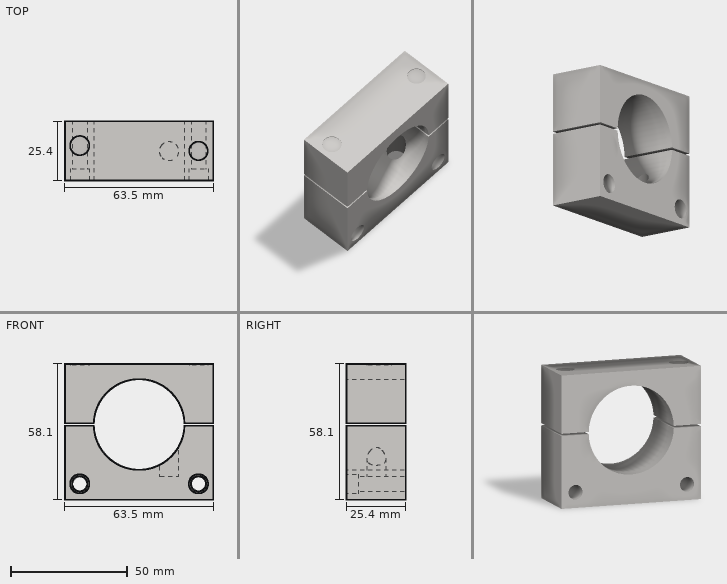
import cadquery as cq

LENGTH = 63.5
DEPTH = 25.4
BASE_HEIGHT = 31.75
CAP_HEIGHT = 25.4
SPLIT_GAP = 1.0
TOP_Z = BASE_HEIGHT + SPLIT_GAP + CAP_HEIGHT

BORE_DIAMETER = 38.75
BORE_Z = BASE_HEIGHT + SPLIT_GAP / 2

HOLE_X = 25.4
MOUNT_Z = 6.85
MOUNT_DIAMETER = 6.35
COUNTERBORE_DIAMETER = 8.25
COUNTERBORE_DEPTH = 5.1

POCKET_DIAMETER = 8.2
POCKET_X = 12.7
POCKET_Y = 0.0
POCKET_FLOOR_Z = 10.05

RECESS_DEPTH = 0.3
LEFT_RECESS_DIAMETER = 8.25
LEFT_RECESS_Y = 2.3
RIGHT_RECESS_DIAMETER = 7.95
RIGHT_RECESS_Y = 0.0


def block(bottom_z, height):
    """Rectangular block centred on the Z axis."""
    return cq.Workplane("XY", origin=(0, 0, bottom_z)).rect(LENGTH, DEPTH).extrude(height)


def front_cylinder(x, z, diameter, length):
    """Cylinder running from the front face (-Y) into the block."""
    plane = cq.Workplane("XZ", origin=(x, -DEPTH / 2, z))
    return plane.circle(diameter / 2).extrude(-length)


def vertical_cylinder(x, y, bottom_z, diameter, height):
    """Cylinder rising along +Z from bottom_z."""
    return cq.Workplane("XY", origin=(x, y, bottom_z)).circle(diameter / 2).extrude(height)


def make_base(bore):
    """Lower half with the mounting holes and the blind pocket."""
    base = block(0, BASE_HEIGHT).cut(bore)
    for x in (-HOLE_X, HOLE_X):
        base = base.cut(front_cylinder(x, MOUNT_Z, MOUNT_DIAMETER, DEPTH))
        base = base.cut(front_cylinder(x, MOUNT_Z, COUNTERBORE_DIAMETER, COUNTERBORE_DEPTH))
    pocket_height = BORE_Z - POCKET_FLOOR_Z
    return base.cut(
        vertical_cylinder(POCKET_X, POCKET_Y, POCKET_FLOOR_Z, POCKET_DIAMETER, pocket_height)
    )


def make_cap(bore):
    """Upper half with two shallow recesses in its top face."""
    cap = block(BASE_HEIGHT + SPLIT_GAP, CAP_HEIGHT).cut(bore)
    recess_floor_z = TOP_Z - RECESS_DEPTH
    for x, y, diameter in (
        (-HOLE_X, LEFT_RECESS_Y, LEFT_RECESS_DIAMETER),
        (HOLE_X, RIGHT_RECESS_Y, RIGHT_RECESS_DIAMETER),
    ):
        cap = cap.cut(vertical_cylinder(x, y, recess_floor_z, diameter, RECESS_DEPTH))
    return cap


bore = front_cylinder(0, BORE_Z, BORE_DIAMETER, DEPTH)
base = make_base(bore)
cap = make_cap(bore)

result = cq.Compound.makeCompound([base.val(), cap.val()])